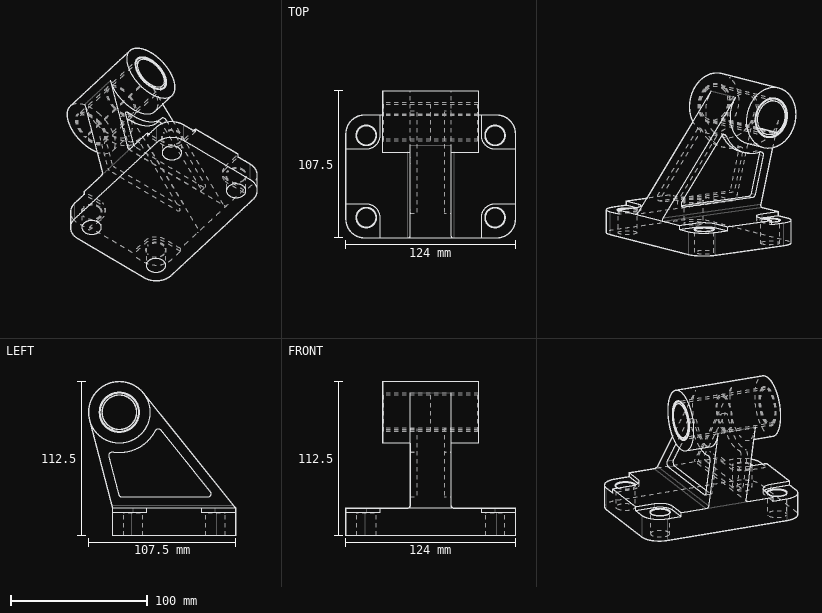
import cadquery as cq
import math

base_length = 124.0
base_width = 90.0
base_height = 20.0
base_corner_radius = 14.0

hole_inset = 15.0
hole_diameter = 14.0
hole_chamfer = 0.5
chamfer_angle = 90.0
seat_size = 25.0
seat_depth = 3.0
seat_radius = 10.0

barrel_y = 40.0
barrel_z = 90.0
barrel_radius = 22.5
barrel_length = 70.0
bore_radius = 14.0
bore_chamfer = 0.7

web_thickness = 30.0
foot_fillet = 2.0

pocket_depth = 5.0
pocket_rim = 7.0
pocket_bottom_z = 28.0
pocket_corner_radius = 2.5

bushing_inner_radius = 12.5
bushing_length = barrel_length / 2
slit_width = 0.5
slit_angle = -67.5

web_front = (-base_width / 2, base_height)
web_rear = (base_width / 2, base_height)


def tangent_angle(foot, side):
    """Direction of the line from a foot point that touches the barrel on one side."""
    dy = barrel_y - foot[0]
    dz = barrel_z - foot[1]
    return math.atan2(dz, dy) + side * math.asin(barrel_radius / math.hypot(dy, dz))


front_angle = tangent_angle(web_front, 1)
rear_angle = tangent_angle(web_rear, -1)


def barrel_point(angle, side, radius):
    """Point (Y, Z) at a radius from the barrel axis, square to a line of the given angle."""
    return (
        barrel_y - side * radius * math.sin(angle),
        barrel_z + side * radius * math.cos(angle),
    )


def along_x(x_start):
    """Workplane whose local axes are Y and Z, facing +X."""
    return cq.Workplane("YZ", origin=(x_start, 0, 0))


def make_barrel():
    return (
        along_x(-barrel_length / 2)
        .center(barrel_y, barrel_z)
        .circle(barrel_radius)
        .extrude(barrel_length)
    )


def web_prism(thickness):
    """Web outline, from the base up to its tangent points on the barrel, centred on X = 0."""
    return (
        along_x(-thickness / 2)
        .polyline([
            web_front,
            web_rear,
            barrel_point(rear_angle, -1, barrel_radius),
            (barrel_y, barrel_z),
            barrel_point(front_angle, 1, barrel_radius),
        ])
        .close()
        .extrude(thickness)
    )


def make_base():
    plate = (
        cq.Workplane("XY")
        .rect(base_length, base_width)
        .extrude(base_height)
        .edges("|Z")
        .fillet(base_corner_radius)
    )
    seat_z = base_height - seat_depth
    seats = (
        cq.Workplane("XY", origin=(0, 0, seat_z))
        .rect(base_length, base_width, forConstruction=True)
        .vertices()
        .rect(2 * seat_size, 2 * seat_size)
        .extrude(seat_depth)
        .edges("|Z")
        .fillet(seat_radius)
    )
    return (
        plate.cut(seats)
        .copyWorkplane(cq.Workplane("XY", origin=(0, 0, seat_z)))
        .rect(base_length - 2 * hole_inset, base_width - 2 * hole_inset, forConstruction=True)
        .vertices()
        .cskHole(hole_diameter, hole_diameter + 2 * hole_chamfer, chamfer_angle)
    )


def make_foot():
    """Concave fillets along both sides of the web, trimmed to the slopes of the web."""
    half_web = web_thickness / 2
    half_foot = half_web + foot_fillet
    foot_top = base_height + foot_fillet
    bend = foot_fillet * (1 - math.sqrt(0.5))
    strip = (
        cq.Workplane("XZ", origin=(0, base_width, 0))
        .moveTo(-half_foot, base_height)
        .lineTo(half_foot, base_height)
        .threePointArc((half_web + bend, base_height + bend), (half_web, foot_top))
        .lineTo(-half_web, foot_top)
        .threePointArc((-half_web - bend, base_height + bend), (-half_foot, base_height))
        .close()
        .extrude(2 * base_width)
    )
    return strip.intersect(web_prism(2 * half_foot))


def make_pocket(x_start):
    """Pocket cutter: slopes and barrel arc set in by the rim, a level lower edge, rounded corners."""
    arc_radius = barrel_radius + pocket_rim
    edge_distance = barrel_radius - pocket_rim
    arc_run = math.sqrt(arc_radius**2 - edge_distance**2)

    def edge_ends(angle, side):
        """Lower and upper ends of the pocket edge beside one slope of the web."""
        y, z = barrel_point(angle, side, edge_distance)
        lower = (y + (pocket_bottom_z - z) / math.tan(angle), pocket_bottom_z)
        upper = (y - arc_run * math.cos(angle), z - arc_run * math.sin(angle))
        return lower, upper

    front_lower, front_upper = edge_ends(front_angle, 1)
    rear_lower, rear_upper = edge_ends(rear_angle, -1)
    arc_middle_angle = (
        math.atan2(front_upper[1] - barrel_z, front_upper[0] - barrel_y)
        + math.atan2(rear_upper[1] - barrel_z, rear_upper[0] - barrel_y)
    ) / 2
    arc_middle = (
        barrel_y + arc_radius * math.cos(arc_middle_angle),
        barrel_z + arc_radius * math.sin(arc_middle_angle),
    )
    return (
        along_x(x_start)
        .moveTo(*front_lower)
        .lineTo(*rear_lower)
        .lineTo(*rear_upper)
        .threePointArc(arc_middle, front_upper)
        .close()
        .extrude(pocket_depth)
        .edges("|X")
        .fillet(pocket_corner_radius)
    )


def make_bore():
    """Bore cutter through the barrel, flared by a chamfer at each end."""
    half_length = barrel_length / 2
    return (
        cq.Workplane("XY", origin=(0, barrel_y, barrel_z))
        .moveTo(-half_length, 0)
        .lineTo(-half_length, bore_radius + bore_chamfer)
        .lineTo(-half_length + bore_chamfer, bore_radius)
        .lineTo(half_length - bore_chamfer, bore_radius)
        .lineTo(half_length, bore_radius + bore_chamfer)
        .lineTo(half_length, 0)
        .close()
        .revolve(360, (0, 0), (1, 0))
    )


def make_bracket():
    bracket = make_base().union(make_foot()).union(web_prism(web_thickness))
    bracket = bracket.union(make_barrel())
    for pocket_start in (-web_thickness / 2, web_thickness / 2 - pocket_depth):
        bracket = bracket.cut(make_pocket(pocket_start))
    return bracket.cut(make_bore())


def make_bushing(x_start):
    """Rolled bushing: a thin tube with one slit along its whole length."""
    section = (
        along_x(x_start)
        .center(barrel_y, barrel_z)
        .transformed(rotate=(0, 0, slit_angle))
    )
    tube = section.circle(bore_radius).circle(bushing_inner_radius).extrude(bushing_length)
    slit = (
        section.center(bore_radius, 0)
        .rect(bore_radius, slit_width)
        .extrude(bushing_length)
    )
    return tube.cut(slit)


bracket = make_bracket()
bushings = [make_bushing(x_start) for x_start in (-bushing_length, 0)]

result = cq.Compound.makeCompound([bracket.val(), *[bushing.val() for bushing in bushings]])